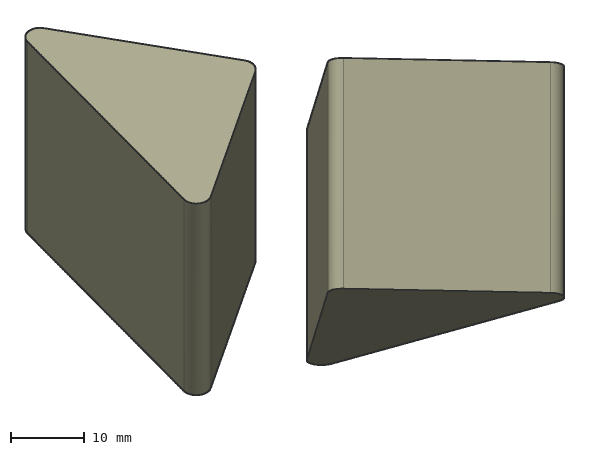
import cadquery as cq

width = 44.5
depth = 23.5
height = 33.0
corner_radius = 2.0

base_corner_x = width / 2 - corner_radius
base_corner_y = corner_radius
apex_y = depth - corner_radius
corner_centres = [
    (-base_corner_x, base_corner_y),
    (base_corner_x, base_corner_y),
    (0, apex_y),
]

result = (
    cq.Workplane("XY")
    .polyline(corner_centres)
    .close()
    .offset2D(corner_radius, "arc")
    .extrude(height)
)